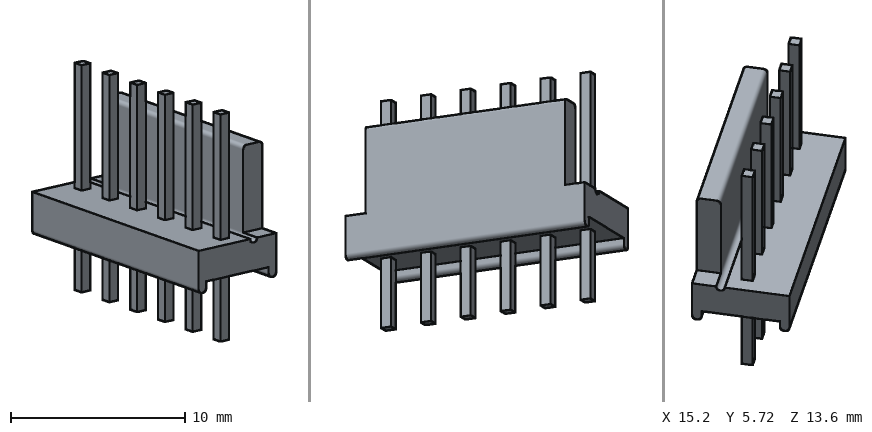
import cadquery as cq

pin_count = 6
base_length = 15.24
pitch = base_length / pin_count
pin_side = 0.64
pin_length = 13.6
pin_tail = 4.16
pin_from_front = 2.68

base_depth = 5.72
slab_height = 1.94
foot_width = 0.56
foot_height = 0.64
foot_radius = foot_width / 2

wall_thickness = 1.42
wall_height = 5.21
wall_length = base_length - pitch
wall_edge_radius = 0.26
groove_radius = 0.251

front = -base_depth / 2
back = base_depth / 2
wall_front = back - wall_thickness
groove_center = wall_front - groove_radius
pin_y = front + pin_from_front
foot_shoulder = foot_radius - foot_height


def make_base():
    profile = (
        cq.Workplane("YZ")
        .moveTo(front, slab_height)
        .lineTo(front, foot_shoulder)
        .threePointArc((front + foot_radius, -foot_height), (front + foot_width, foot_shoulder))
        .lineTo(front + foot_width, 0)
        .lineTo(back - foot_width, 0)
        .lineTo(back - foot_width, foot_shoulder)
        .threePointArc((back - foot_radius, -foot_height), (back, foot_shoulder))
        .lineTo(back, slab_height)
        .lineTo(wall_front, slab_height)
        .threePointArc(
            (groove_center, slab_height - groove_radius),
            (groove_center - groove_radius, slab_height),
        )
        .close()
    )
    return profile.extrude(base_length / 2, both=True)


def make_wall():
    wall = cq.Workplane("XY").box(
        wall_length, wall_thickness, wall_height, centered=(True, True, False)
    )
    wall = wall.edges("|X and >Z").fillet(wall_edge_radius)
    return wall.translate((0, back - wall_thickness / 2, slab_height))


def make_pins():
    return (
        cq.Workplane("XY", origin=(0, pin_y, -pin_tail))
        .rarray(pitch, 0.15, pin_count, 1)
        .rect(pin_side, pin_side)
        .extrude(pin_length)
    )


result = make_base().union(make_wall()).union(make_pins())